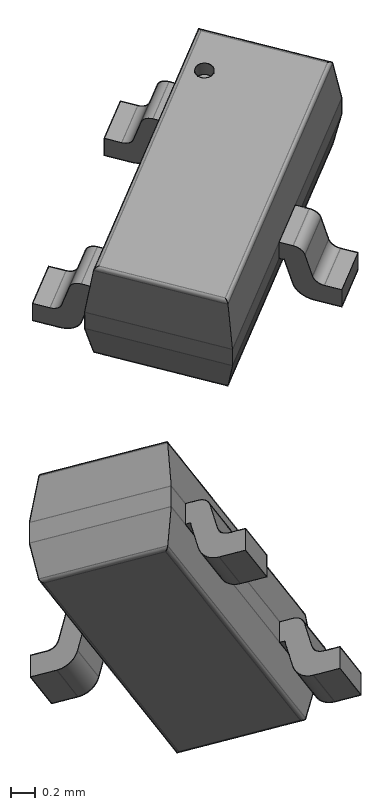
import cadquery as cq
import math

BODY_WIDTH = 1.3
BODY_LENGTH = 2.9
BODY_BOTTOM = 0.05
BODY_TOP = 1.15
TAPER_INSET = 0.065
RIM_RADIUS = 0.035

LEAD_SPAN = 2.4
LEAD_WIDTH = 0.43
LEAD_PITCH = 1.902
SHOULDER_TOP = 0.63
SHOULDER_THICKNESS = 0.21
FOOT_THICKNESS = 0.22
FOOT_FLAT = 0.155
SHANK_TILT = math.radians(15)
BEND_RADIUS = 0.107
HEEL_RADIUS = 0.197

MARK_DIAMETER = 0.162
MARK_DEPTH = 0.145
MARK_FROM_SIDE = 0.258

SHOULDER_BOTTOM = SHOULDER_TOP - SHOULDER_THICKNESS


def tapered_half(base_z, end_z):
    """A block from the belt plane base_z that narrows towards end_z, with a rounded end rim."""
    block = (
        cq.Workplane("XY")
        .workplane(offset=base_z)
        .rect(BODY_WIDTH, BODY_LENGTH)
        .workplane(offset=end_z - base_z)
        .rect(BODY_WIDTH - 2 * TAPER_INSET, BODY_LENGTH - 2 * TAPER_INSET)
        .loft(ruled=True)
    )
    end_face = ">Z" if end_z > base_z else "<Z"
    return block.faces(end_face).edges().fillet(RIM_RADIUS)


def make_housing():
    """Straight belt with tapered halves above and below, and a round recess marking pin 1."""
    belt = (
        cq.Workplane("XY")
        .workplane(offset=SHOULDER_BOTTOM)
        .rect(BODY_WIDTH, BODY_LENGTH)
        .extrude(SHOULDER_THICKNESS)
    )
    upper = tapered_half(SHOULDER_TOP, BODY_TOP)
    lower = tapered_half(SHOULDER_BOTTOM, BODY_BOTTOM)
    mark = (
        cq.Workplane("XY")
        .workplane(offset=BODY_TOP - MARK_DEPTH)
        .center(MARK_FROM_SIDE - BODY_WIDTH / 2, LEAD_PITCH / 2)
        .circle(MARK_DIAMETER / 2)
        .extrude(MARK_DEPTH)
    )
    return belt.union(upper).union(lower).cut(mark)


def make_lead(y_center):
    """Gull-wing lead on the -X side, from its foot tip to the housing belt."""
    tip_x = -LEAD_SPAN / 2
    root_x = -BODY_WIDTH / 2
    slope = math.tan(SHANK_TILT)

    bend_setback = BEND_RADIUS * math.tan((math.pi / 2 - SHANK_TILT) / 2)
    instep_x = tip_x + FOOT_FLAT + bend_setback
    knee_x = instep_x + (SHOULDER_TOP - FOOT_THICKNESS) * slope
    shank_run = SHOULDER_THICKNESS / math.cos(SHANK_TILT)
    heel_x = instep_x - FOOT_THICKNESS * slope + shank_run
    armpit_x = heel_x + SHOULDER_BOTTOM * slope

    strip = (
        cq.Workplane("XZ", origin=(0, y_center + LEAD_WIDTH / 2, 0))
        .moveTo(tip_x, 0)
        .lineTo(heel_x, 0)
        .lineTo(armpit_x, SHOULDER_BOTTOM)
        .lineTo(root_x, SHOULDER_BOTTOM)
        .lineTo(root_x, SHOULDER_TOP)
        .lineTo(knee_x, SHOULDER_TOP)
        .lineTo(instep_x, FOOT_THICKNESS)
        .lineTo(tip_x, FOOT_THICKNESS)
        .close()
        .extrude(LEAD_WIDTH)
    )

    def edge_at(x, z):
        return cq.selectors.NearestToPointSelector((x, y_center, z))

    strip = strip.edges(edge_at(instep_x, FOOT_THICKNESS)).fillet(BEND_RADIUS)
    strip = strip.edges(edge_at(knee_x, SHOULDER_TOP)).fillet(BEND_RADIUS)
    return strip.edges(edge_at(heel_x, 0)).fillet(HEEL_RADIUS)


housing = make_housing()

leads = [make_lead(y) for y in (-LEAD_PITCH / 2, LEAD_PITCH / 2)]
leads.append(make_lead(0).rotate((0, 0, 0), (0, 0, 1), 180))

result = cq.Compound.makeCompound([housing.val(), *[lead.val() for lead in leads]])